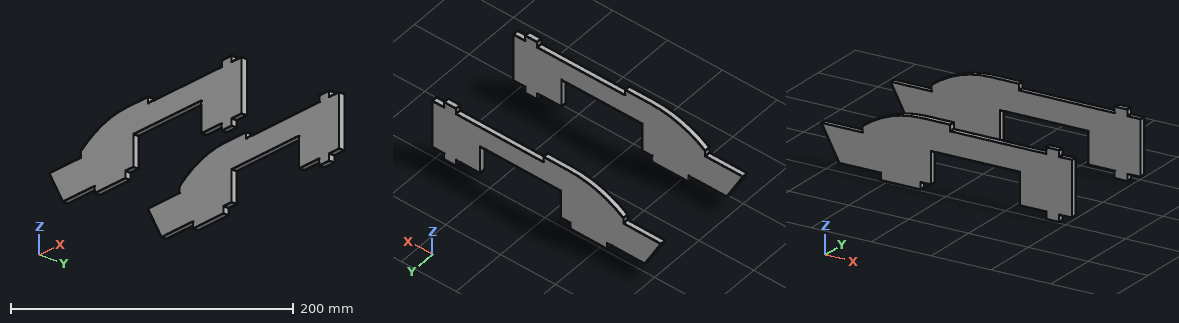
import cadquery as cq
import math

plate_length = 209.7
plate_height = 55.0
plate_thickness = 5.0

foot_height = 5.7
bridge_bottom = 31.3
nose_top = 33.5
shoulder_top = 38.5
lug_height = 5.0
bridge_top = plate_height - lug_height

nose_bottom_x = 15.0
shoulder_x = 34.5
front_foot_start = 49.6
front_foot_end = 83.0
back_crest_x = 84.1
front_leg_end = 92.0
hump_end = 107.7
rear_leg_start = 165.7
lug_start = 187.8
lug_end = 198.7

overall_length = 210.3
overall_depth = 96.7
rear_tilt = 0.29


def back_arc_midpoint():
    """Point halfway along the arc that is level at the crest and ends at the shoulder."""
    run = back_crest_x - shoulder_x
    drop = plate_height - shoulder_top
    radius = (run**2 + drop**2) / (2 * drop)
    half_angle = math.asin(run / radius) / 2
    return (
        back_crest_x - radius * math.sin(half_angle),
        plate_height - radius * (1 - math.cos(half_angle)),
    )


def make_plate():
    """Flat arm-shaped plate with its nose tip at X = 0, filling Y = 0 to the thickness."""
    return (
        cq.Workplane("XZ")
        .moveTo(0, nose_top)
        .lineTo(shoulder_x, nose_top)
        .lineTo(shoulder_x, shoulder_top)
        .threePointArc(back_arc_midpoint(), (back_crest_x, plate_height))
        .lineTo(hump_end, plate_height)
        .lineTo(hump_end, bridge_top)
        .lineTo(lug_start, bridge_top)
        .lineTo(lug_start, plate_height)
        .lineTo(lug_end, plate_height)
        .lineTo(lug_end, bridge_top)
        .lineTo(plate_length, bridge_top)
        .lineTo(plate_length, foot_height)
        .lineTo(lug_end, foot_height)
        .lineTo(lug_end, 0)
        .lineTo(lug_start, 0)
        .lineTo(lug_start, foot_height)
        .lineTo(rear_leg_start, foot_height)
        .lineTo(rear_leg_start, bridge_bottom)
        .lineTo(front_leg_end, bridge_bottom)
        .lineTo(front_leg_end, foot_height)
        .lineTo(front_foot_end, foot_height)
        .lineTo(front_foot_end, 0)
        .lineTo(front_foot_start, 0)
        .lineTo(front_foot_start, foot_height)
        .lineTo(nose_bottom_x, foot_height)
        .close()
        .extrude(-plate_thickness)
    )


placements = [
    (0, 0, 0),
    (overall_length - plate_length, overall_depth - plate_thickness, -rear_tilt),
]

plates = []
for nose_x, near_face_y, tilt in placements:
    plate = make_plate().rotate((0, 0, 0), (0, 0, 1), tilt).translate((nose_x, near_face_y, 0))
    plates.append(plate.val())

result = cq.Compound.makeCompound(plates)